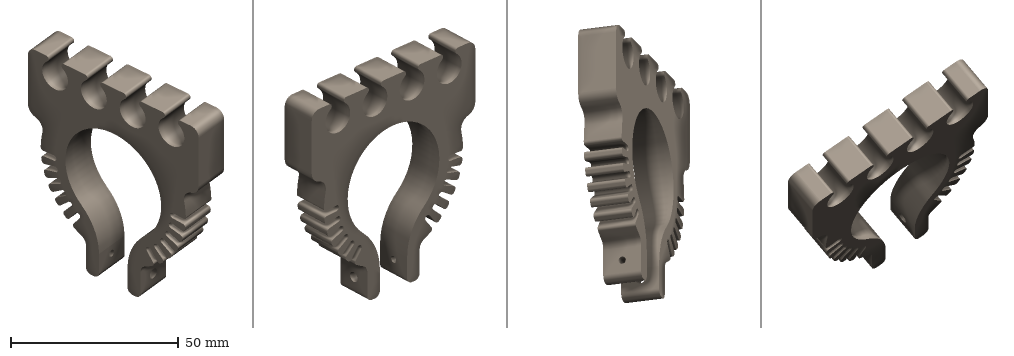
import cadquery as cq
import math

width = 66.0
height = 73.4
thickness = 12.0
half_width = width / 2
top_z = 35.4
bottom_z = top_z - height

ring_inner_radius = 18.5
ring_outer_radius = 28.0

leg_inner_x = 5.5
leg_outer_x = 10.6
leg_end_radius = 2.0
leg_root_radius = 3.0
neck_radius = 20.0
screw_height = 6.0
left_screw_diameter = 2.3
right_screw_diameter = 3.3

top_corner_radius = 3.0
shoulder_radius = 3.8
shoulder_centre_z = 14.2

clip_count = 4
clip_pitch = 15.0
clip_radius = 5.0
clip_depth = 5.95
clip_mouth_width = 4.9
clip_lip_radius = 1.0

slot_count = 6
slot_first_angle = 3.25
slot_step_angle = 10.0
slot_width = 2.0
slot_inner_radius = 22.0
fin_tip_radius = 0.95

tolerance = 0.01


def polar(radius, angle, centre=(0.0, 0.0)):
    """Point at a radius and an angle in radians around a centre."""
    return centre[0] + radius * math.cos(angle), centre[1] + radius * math.sin(angle)


def direction(start, end):
    """Angle in radians of the line from start to end."""
    return math.atan2(end[1] - start[1], end[0] - start[0])


def arc(path, centre, radius, start_angle, end_angle):
    """Continue the path along a circle between two angles."""
    middle = polar(radius, (start_angle + end_angle) / 2, centre)
    return path.threePointArc(middle, polar(radius, end_angle, centre))


def half_body():
    """Right half of the plate, with every outer arc tangent to its neighbours."""
    origin = (0.0, 0.0)
    right, up, left, down = 0.0, math.pi / 2, math.pi, -math.pi / 2

    neck_x = leg_inner_x + neck_radius
    neck_centre = (neck_x, -math.sqrt((ring_inner_radius + neck_radius) ** 2 - neck_x**2))
    neck_angle = direction(origin, neck_centre)

    root_x = leg_outer_x + leg_root_radius
    root_reach = ring_outer_radius + leg_root_radius
    root_centre = (root_x, -math.sqrt(root_reach**2 - root_x**2))
    root_angle = direction(origin, root_centre)

    shoulder_centre = (half_width - shoulder_radius, shoulder_centre_z)
    shoulder_distance = math.hypot(*shoulder_centre)
    hollow_reach = ring_outer_radius + shoulder_radius
    hollow_cosine = (hollow_reach**2 + shoulder_distance**2 - (2 * shoulder_radius) ** 2) / (
        2 * hollow_reach * shoulder_distance
    )
    hollow_angle = direction(origin, shoulder_centre) - math.acos(hollow_cosine)
    hollow_centre = polar(hollow_reach, hollow_angle)
    hollow_start = hollow_angle + math.pi
    hollow_end = direction(hollow_centre, shoulder_centre)
    shoulder_start = hollow_end - math.pi

    end_z = bottom_z + leg_end_radius
    inner_end_centre = (leg_inner_x + leg_end_radius, end_z)
    outer_end_centre = (leg_outer_x - leg_end_radius, end_z)
    corner_centre = (half_width - top_corner_radius, top_z - top_corner_radius)

    path = cq.Workplane("XZ", origin=(0, thickness / 2, 0)).moveTo(0, ring_inner_radius)
    path = arc(path, origin, ring_inner_radius, up, neck_angle)
    path = arc(path, neck_centre, neck_radius, neck_angle + math.pi, left)
    path = path.lineTo(leg_inner_x, end_z)
    path = arc(path, inner_end_centre, leg_end_radius, math.pi, 1.5 * math.pi)
    path = path.lineTo(outer_end_centre[0], bottom_z)
    path = arc(path, outer_end_centre, leg_end_radius, down, right)
    path = path.lineTo(leg_outer_x, root_centre[1])
    path = arc(path, root_centre, leg_root_radius, left, root_angle + math.pi)
    path = arc(path, origin, ring_outer_radius, root_angle, hollow_angle)
    path = arc(path, hollow_centre, shoulder_radius, hollow_start, hollow_end)
    path = arc(path, shoulder_centre, shoulder_radius, shoulder_start, right)
    path = path.lineTo(half_width, corner_centre[1])
    path = arc(path, corner_centre, top_corner_radius, right, up)
    path = path.lineTo(0, top_z)
    return path.close().extrude(thickness)


def cut_slots(body):
    """Cut the round-bottomed radial slots, then round the corners of their mouths."""
    end_radius = slot_width / 2
    round_centre = slot_inner_radius + end_radius
    straight_length = ring_outer_radius - slot_inner_radius
    straight_centre = round_centre + straight_length / 2
    slot = cq.Workplane("XY").box(straight_length, 2 * thickness, slot_width)
    slot = slot.translate((straight_centre, 0, 0))
    slot_end = cq.Workplane("XZ", origin=(round_centre, thickness, 0)).circle(end_radius)
    slot = slot.union(slot_end.extrude(2 * thickness))
    for index in range(slot_count):
        angle = slot_first_angle + index * slot_step_angle
        body = body.cut(slot.rotate((0, 0, 0), (0, 1, 0), angle))

    half_angle = math.degrees(math.asin(end_radius / ring_outer_radius))
    first_corner = slot_first_angle - half_angle
    last_corner = slot_first_angle + (slot_count - 1) * slot_step_angle + half_angle

    def is_mouth(edge):
        centre = edge.Center()
        on_ring = abs(math.hypot(centre.x, centre.z) - ring_outer_radius) < tolerance
        angle = math.degrees(-math.atan2(centre.z, centre.x))
        return on_ring and first_corner - tolerance < angle < last_corner + tolerance

    return body.edges("|Y").filter(is_mouth).fillet(fin_tip_radius)


def cut_clips(body):
    """Cut the round cable seats open to the top and round the lips of their mouths."""
    seat_z = top_z - clip_depth
    half_mouth = clip_mouth_width / 2
    lip_z = seat_z + math.sqrt(clip_radius**2 - half_mouth**2)
    centres = [(index - (clip_count - 1) / 2) * clip_pitch for index in range(clip_count)]
    for x in centres:
        seat = cq.Workplane("XZ", origin=(x, thickness, seat_z)).circle(clip_radius)
        mouth = cq.Workplane("XY").box(clip_mouth_width, 2 * thickness, 2 * clip_depth)
        mouth = mouth.translate((x, 0, seat_z + clip_depth))
        body = body.cut(seat.extrude(2 * thickness)).cut(mouth)

    def is_lip(edge):
        centre = edge.Center()
        at_mouth = any(abs(abs(centre.x - x) - half_mouth) < tolerance for x in centres)
        at_lip = min(abs(centre.z - lip_z), abs(centre.z - top_z)) < tolerance
        return at_mouth and at_lip

    return body.edges("|Y").filter(is_lip).fillet(clip_lip_radius)


def cut_screw_holes(body):
    """Drill the narrow hole through the left leg and the wide one through the right leg."""
    hole_z = bottom_z + screw_height
    for side, diameter in ((-1, left_screw_diameter), (1, right_screw_diameter)):
        drill = cq.Workplane("YZ", origin=(0, 0, hole_z)).circle(diameter / 2)
        body = body.cut(drill.extrude(side * half_width))
    return body


right_half = cut_slots(half_body())
plate = right_half.union(right_half.mirror("YZ")).clean()
result = cut_screw_holes(cut_clips(plate))